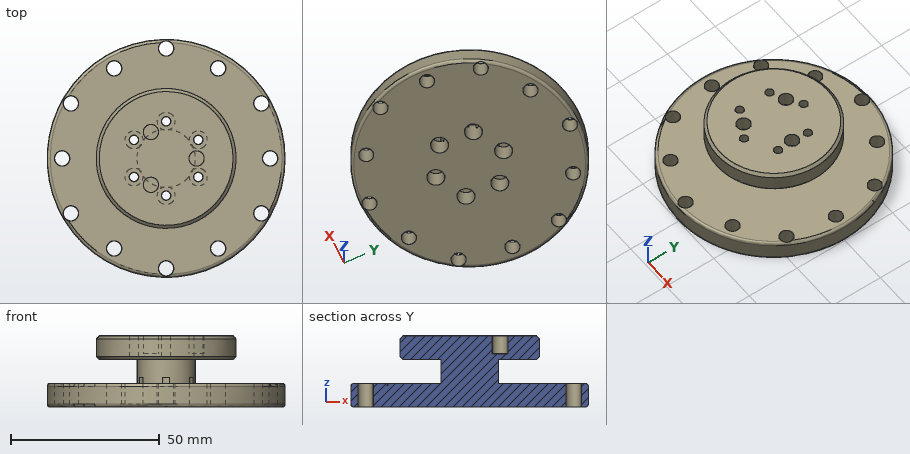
import cadquery as cq

base_diameter = 80
cap_diameter = 47.0
post_diameter = 19.6
disc_thickness = 8
post_height = 8
base_edge_radius = 1.0
cap_chamfer = 1.0

mount_hole_diameter = 5.0
inner_mount_radius = 35.0
outer_mount_radius = 37.0

screw_circle_radius = 12.5
screw_hole_diameter = 3.0
access_hole_diameter = 6.0
access_rise = 2.0

dowel_circle_radius = 10.2
dowel_hole_diameter = 5.1
dowel_depth = 6.0

ring_count = 6
dowel_count = 3
half_step = 180 / ring_count

cap_bottom = disc_thickness + post_height
total_height = cap_bottom + disc_thickness


def disc(diameter, bottom):
    """Plain flat disc."""
    return cq.Workplane("XY").workplane(offset=bottom).circle(diameter / 2).extrude(disc_thickness)


def hole_ring(radius, start_angle, count, diameter, bottom, top):
    """Vertical cylinders spaced evenly round the axis, used as cutters."""
    return (
        cq.Workplane("XY")
        .workplane(offset=bottom)
        .polarArray(radius, start_angle, 360, count)
        .circle(diameter / 2)
        .extrude(top - bottom)
    )


base = disc(base_diameter, 0).faces("<Z or >Z").edges().fillet(base_edge_radius)
cap = disc(cap_diameter, cap_bottom).faces("<Z or >Z").edges().chamfer(cap_chamfer)
post = cq.Workplane("XY").workplane(offset=disc_thickness).circle(post_diameter / 2).extrude(post_height)
body = base.union(post).union(cap)

body = body.cut(hole_ring(inner_mount_radius, 0, ring_count, mount_hole_diameter, 0, disc_thickness))
body = body.cut(hole_ring(outer_mount_radius, half_step, ring_count, mount_hole_diameter, 0, disc_thickness))

access_top = disc_thickness + access_rise
body = body.cut(
    hole_ring(screw_circle_radius, half_step, ring_count, screw_hole_diameter, cap_bottom, total_height)
)
body = body.cut(hole_ring(screw_circle_radius, half_step, ring_count, access_hole_diameter, 0, access_top))

dowel_bottom = total_height - dowel_depth
body = body.cut(
    hole_ring(dowel_circle_radius, 0, dowel_count, dowel_hole_diameter, dowel_bottom, total_height)
)

result = body